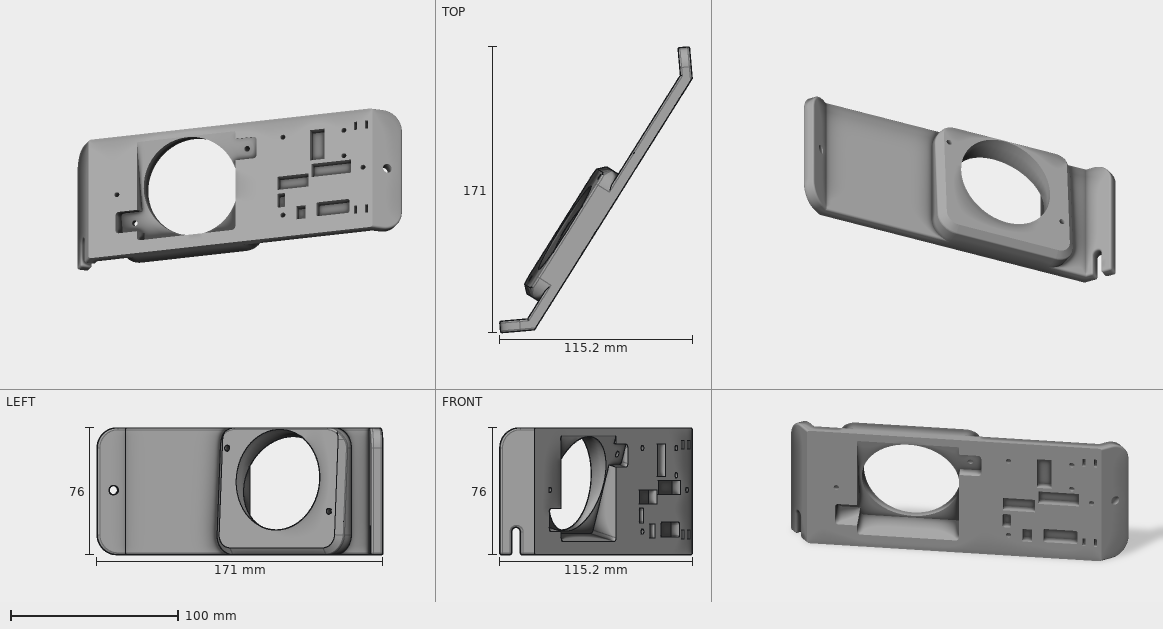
import cadquery as cq
import math

height = 76.0
thickness = 7.0
panel_angle = 57.9
panel_length = 177.6
lip_tilt = 5.0
left_lip_length = 20.4
right_lip_length = 19.0
lip_corner_radius = 12.0
edge_radius = 1.2

fixing_width = 5.5
fixing_from_tip = 9.5
slot_centre_height = 13.7
hole_height = 38.7

hood_start = 15.9
hood_length = 89.7
hood_corner_radius = 12.0
hood_tilt = 4.0
hood_rise = 17.6
hood_chamfer = 4.1
hood_overrun = 5.1

seat_tilt = 16.0
seat_along = 60.9
seat_height = 40.0
seat_size = 61.6
seat_depth = 8.5
seat_clearance = 20.5
seat_corner_radius = 2.0
lens_diameter = 58.9
lens_shift = 0.5
ear_span = 88.3
ear_width = 13.2
ear_offset = 18.5
screw_spacing = 73.4
screw_diameter = 3.5

pocket_depth = 5.8
pockets = [
    (143.0, 56.6, 8.9, 19.3),
    (151.8, 40.4, 24.5, 8.4),
    (127.8, 34.5, 19.5, 8.4),
    (132.8, 14.4, 5.8, 8.4),
]
rounded_pockets = [
    (152.8, 15.0, 20.5, 8.9),
    (120.5, 23.5, 5.0, 8.9),
]
pocket_corner_radius = 1.0
tab_slot_length = 1.9
tab_slot_height = 5.1
tab_slot_places = [(167.0, 65.9), (167.0, 12.1), (173.8, 65.9), (173.8, 12.1)]
pin_diameter = 3.0
pin_places = [(121.5, 63.8), (159.6, 63.8), (159.6, 47.5), (121.5, 13.9), (17.6, 38.8), (171.6, 38.8)]

through = 68.5


def direction(angle):
    """Unit vector in the XY plane, at an angle from the X axis."""
    return cq.Vector(math.cos(math.radians(angle)), math.sin(math.radians(angle)), 0)


up = cq.Vector(0, 0, 1)
along = direction(panel_angle)
backward = direction(panel_angle + 90)
right_lip_out = direction(90 + lip_tilt)
left_lip_out = direction(180 + lip_tilt)
right_lip_back = left_lip_out
left_lip_back = right_lip_out


def tilted_backward(tilt):
    """The backward direction of the panel, raised by an angle."""
    angle = math.radians(tilt)
    return backward * math.cos(angle) + up * math.sin(angle)


def upright_plane(origin, x_direction, back):
    """Work plane with its x as given and its normal towards the front."""
    return cq.Plane(origin.toTuple(), x_direction.toTuple(), (back * -1).toTuple())


def parallel_to(vector):
    return cq.selectors.ParallelDirSelector(vector)


def crossing(p, p_direction, q, q_direction):
    """Where two lines in the XY plane meet."""
    turn = p_direction.cross(q_direction).z
    return p + p_direction * ((q - p).cross(q_direction).z / turn)


left_bend = cq.Vector(0, 0, 0)
right_bend = along * panel_length
left_tip = left_bend + left_lip_out * left_lip_length
right_tip = right_bend + right_lip_out * right_lip_length
left_tip_back = left_tip + left_lip_back * thickness
right_tip_back = right_tip + right_lip_back * thickness
panel_back = left_bend + backward * thickness
left_bend_back = crossing(panel_back, along, left_tip_back, left_lip_out)
right_bend_back = crossing(panel_back, along, right_tip_back, right_lip_out)
bends = [left_bend, right_bend, left_bend_back, right_bend_back]

panel_plane = upright_plane(left_bend, along, backward)
left_lip_plane = upright_plane(left_tip, left_lip_out * -1, left_lip_back)
right_lip_plane = upright_plane(right_tip, right_lip_out, right_lip_back)


def round_tip(shape, corner, back, radius):
    """Round the edge that runs through the lip thickness from a front corner."""
    reach = cq.Vector(edge_radius, edge_radius, edge_radius) * 0.5
    middle = corner + back * (thickness / 2)
    box = cq.selectors.BoxSelector((middle - reach).toTuple(), (middle + reach).toTuple())
    return shape.edges(box).fillet(radius)


def lies_flat(edge, point, normal):
    samples = [edge.startPoint(), edge.endPoint(), edge.positionAt(0.5)]
    return all(abs((sample - point).dot(normal)) < 0.002 for sample in samples)


def is_bend(edge):
    middle = edge.positionAt(0.5)
    return any(math.hypot(middle.x - bend.x, middle.y - bend.y) < 0.002 for bend in bends)


def make_bracket():
    outline = [left_bend, right_bend, right_tip, right_tip_back,
               right_bend_back, left_bend_back, left_tip_back, left_tip]
    bracket = cq.Workplane("XY").polyline([(p.x, p.y) for p in outline]).close().extrude(height)

    bracket = round_tip(bracket, right_tip, right_lip_back, lip_corner_radius)
    bracket = round_tip(bracket, right_tip + up * height, right_lip_back, lip_corner_radius)
    bracket = round_tip(bracket, left_tip + up * height, left_lip_back, lip_corner_radius)
    bracket = round_tip(bracket, left_tip, left_lip_back, edge_radius)

    slot = (
        cq.Workplane(left_lip_plane)
        .center(fixing_from_tip, 0)
        .rect(fixing_width, 2 * slot_centre_height)
        .extrude(through, both=True)
    )
    slot_end = (
        cq.Workplane(left_lip_plane)
        .center(fixing_from_tip, slot_centre_height)
        .circle(fixing_width / 2)
        .extrude(through, both=True)
    )
    bracket = bracket.cut(slot).cut(slot_end)
    for side in (-1, 1):
        mouth = left_tip - left_lip_out * (fixing_from_tip + side * fixing_width / 2)
        bracket = round_tip(bracket, mouth, left_lip_back, edge_radius)

    rounded_faces = [
        (left_tip, left_lip_back),
        (left_tip_back, left_lip_back),
        (panel_back, backward),
        (right_tip, right_lip_back),
        (right_tip_back, right_lip_back),
    ]
    rims = [
        edge
        for edge in bracket.edges().vals()
        if not is_bend(edge) and any(lies_flat(edge, *face) for face in rounded_faces)
    ]
    bracket = bracket.newObject(rims).fillet(edge_radius)

    hole = (
        cq.Workplane(right_lip_plane)
        .center(-fixing_from_tip, hole_height)
        .circle(fixing_width / 2)
        .extrude(thickness * 2, both=True)
    )
    return bracket.cut(hole)


hood_centre = along * (hood_start + hood_length / 2) + up * (height / 2)


def is_on_hood_wall(point):
    """True on the upright outline of the hood: a rectangle with rounded corners."""
    offset = point - hood_centre
    x_past = abs(offset.dot(along)) - hood_length / 2 + hood_corner_radius
    y_past = abs(offset.z) - height / 2 + hood_corner_radius
    if min(x_past, y_past) > 0:
        reach = math.hypot(x_past, y_past)
    else:
        reach = max(x_past, y_past)
    return abs(reach - hood_corner_radius) < 0.02


def make_hood():
    walls = (
        cq.Workplane(upright_plane(hood_centre, along, backward))
        .rect(hood_length, height)
        .extrude(-2 * hood_rise)
        .edges(parallel_to(backward))
        .fillet(hood_corner_radius)
    )
    cap_back = tilted_backward(hood_tilt)
    cap_plane = upright_plane(hood_centre + backward * hood_rise, along, cap_back)
    cap = (
        cq.Workplane(cap_plane)
        .center(0, hood_overrun / 2)
        .rect(hood_length, height + hood_overrun)
        .extrude(2 * hood_rise)
        .edges(parallel_to(cap_back))
        .fillet(hood_corner_radius)
        .faces(cq.selectors.DirectionMinMaxSelector(cap_back))
        .chamfer(hood_chamfer)
    )
    hood = walls.intersect(cap)
    shoulder = [
        edge
        for edge in hood.edges().vals()
        if (edge.positionAt(0.5) - hood_centre).dot(backward) > thickness
        and not edge.tangentAt(0.5).cross(backward).Length < 0.001
        and is_on_hood_wall(edge.positionAt(0.5))
    ]
    hood = hood.newObject(shoulder).fillet(edge_radius)
    ahead = cq.Workplane(panel_plane).rect(4 * panel_length, 4 * height).extrude(through)
    return hood.cut(ahead)


seat_back = tilted_backward(seat_tilt)
seat_plane = upright_plane(along * seat_along + up * seat_height, along, seat_back)


def seat_block(x, y, length, width):
    """Rounded cutter square to the seat, reaching down to the seat floor."""
    return (
        cq.Workplane(seat_plane)
        .workplane(offset=-seat_depth)
        .center(x, y)
        .rect(length, width)
        .extrude(seat_depth + seat_clearance)
        .edges(parallel_to(seat_back))
        .fillet(seat_corner_radius)
    )


def make_seat():
    seat = seat_block(0, 0, seat_size, seat_size)
    lens = cq.Workplane(seat_plane).center(lens_shift, 0).circle(lens_diameter / 2).extrude(-through)
    seat = seat.union(lens)
    for side in (-1, 1):
        seat = seat.union(seat_block(side * ear_span / 4, side * ear_offset, ear_span / 2, ear_width))
        screw = (
            cq.Workplane(seat_plane)
            .center(lens_shift + side * screw_spacing / 2, side * ear_offset)
            .circle(screw_diameter / 2)
            .extrude(-through)
        )
        seat = seat.union(screw)
    return seat


def make_board_recesses():
    panel = cq.Workplane(panel_plane)
    recesses = panel.pushPoints(pin_places).circle(pin_diameter / 2).extrude(-pocket_depth)
    tab_slots = [(x, y, tab_slot_length, tab_slot_height) for x, y in tab_slot_places]
    for x, y, length, width in pockets + tab_slots:
        recesses = recesses.union(panel.center(x, y).rect(length, width).extrude(-pocket_depth))
    for x, y, length, width in rounded_pockets:
        pocket = panel.center(x, y).rect(length, width).extrude(-pocket_depth)
        recesses = recesses.union(pocket.edges(parallel_to(backward)).fillet(pocket_corner_radius))
    return recesses


result = make_bracket().union(make_hood()).cut(make_seat()).cut(make_board_recesses())